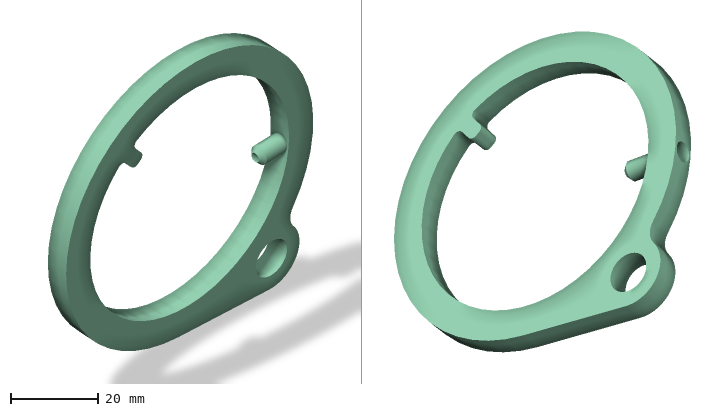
import cadquery as cq
import math

thickness = 6.0
ring_outer_radius = 39.5
ring_inner_radius = 31.75

lug_radius = 8.95
lug_hole_diameter = 10.0
lug_y = 26.1
lug_bottom_z = -41.9
lug_z = lug_bottom_z + lug_radius
neck_fillet = 5.0

tab_width = 4.1
tab_length = 6.0
tab_fillet = 1.5
tab_angle = 128.8
tab_root_overlap = 2.45

pin_diameter = 5.0
pin_z = -3.5
pin_tip_y = 23.85
pin_chamfer = 1.2
pin_cup_depth = 1.2
pin_length = 12.0


def disc(radius, y=0.0, z=0.0):
    """Cylinder along X, centred on X = 0."""
    plate = cq.Workplane("YZ").center(y, z).circle(radius)
    return plate.extrude(thickness / 2, both=True)


def lug_web():
    """Fill between the ring and lug, bounded below by their common tangent."""
    distance = math.hypot(lug_y, lug_z)
    axis_angle = math.atan2(lug_z, lug_y)
    tangent_angle = axis_angle - math.acos((ring_outer_radius - lug_radius) / distance)
    normal_y = math.cos(tangent_angle)
    normal_z = math.sin(tangent_angle)
    outline = cq.Workplane("YZ").polyline([
        (0, 0),
        (ring_outer_radius * normal_y, ring_outer_radius * normal_z),
        (lug_y + lug_radius * normal_y, lug_z + lug_radius * normal_z),
        (lug_y, lug_z),
    ])
    return outline.close().extrude(thickness / 2, both=True)


def neck_point():
    """Intersection of the ring and lug circles on the +Y side of the lug."""
    distance = math.hypot(lug_y, lug_z)
    cosine = (ring_outer_radius**2 + distance**2 - lug_radius**2) / (2 * ring_outer_radius * distance)
    angle = math.atan2(lug_z, lug_y) + math.acos(cosine)
    return ring_outer_radius * math.cos(angle), ring_outer_radius * math.sin(angle)


def edge_at(y, z):
    """Selector for the edge along X closest to a point in the YZ plane."""
    return cq.selectors.NearestToPointSelector((0, y, z))


def make_plate():
    plate = disc(ring_outer_radius).union(disc(lug_radius, lug_y, lug_z)).union(lug_web())
    plate = plate.edges("|X").edges(edge_at(*neck_point())).fillet(neck_fillet)
    return plate.cut(disc(ring_inner_radius)).cut(disc(lug_hole_diameter / 2, lug_y, lug_z))


def add_tab(plate):
    """Radial tab with rounded tip corners and filleted root corners."""
    tip_radius = ring_inner_radius - tab_length
    radial_length = tab_length + tab_root_overlap
    tab = cq.Workplane("XY").box(thickness, radial_length, tab_width)
    tab = tab.edges("|X and <Y").fillet(tab_fillet)
    tab = tab.translate((0, tip_radius + radial_length / 2, 0))
    tab = tab.rotate((0, 0, 0), (1, 0, 0), tab_angle)
    plate = plate.union(tab)
    half_angle = math.asin(tab_width / 2 / ring_inner_radius)
    for side in (-1, 1):
        angle = math.radians(tab_angle) + side * half_angle
        root_y = ring_inner_radius * math.cos(angle)
        root_z = ring_inner_radius * math.sin(angle)
        plate = plate.edges("|X").edges(edge_at(root_y, root_z)).fillet(tab_fillet)
    return plate


def pin_cylinder(length):
    """Cylinder of the pin diameter, running from the pin tip towards +Y."""
    profile = cq.Workplane("XZ", origin=(0, pin_tip_y, pin_z)).circle(pin_diameter / 2)
    return profile.extrude(-length)


def make_pin():
    """Pin with a bevelled tip and a conical cup in its end face."""
    cup_radius = pin_diameter / 2 - pin_chamfer
    cup = cq.Solid.makeCone(
        cup_radius, 0, pin_cup_depth, pnt=cq.Vector(0, pin_tip_y, pin_z), dir=cq.Vector(0, 1, 0)
    )
    return pin_cylinder(pin_length).faces("<Y").chamfer(pin_chamfer).cut(cq.Workplane(obj=cup))


ring_plate = add_tab(make_plate()).cut(pin_cylinder(ring_outer_radius))
pin = make_pin()

result = cq.Compound.makeCompound([ring_plate.val(), pin.val()])